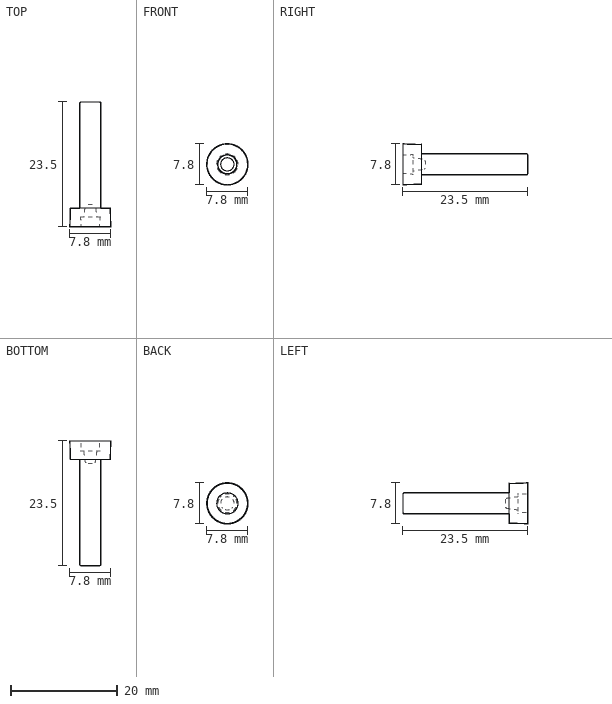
import cadquery as cq

total_length = 23.5
head_length = 3.5
head_mid = head_length / 2
head_face_radius = 3.9
head_mid_radius = 3.8
head_back_radius = 3.78
shank_radius = 2.0
tip_round = 0.28

socket_radius = 1.76
socket_floor_radius = 1.88
socket_straight_depth = 1.08
socket_depth = 1.88

cup_mouth_radius = 1.25
cup_neck_radius = 0.99
cup_floor_radius = 0.55
cup_taper_depth = 1.88
cup_round = cup_neck_radius - cup_floor_radius
cup_neck_y = socket_depth + cup_taper_depth


def revolve_about_y(half_profile):
    return half_profile.close().revolve(360, (0, 0, 0), (0, 1, 0))


def make_body():
    """Head made of two slight cones, and a plain shank with a rounded tip."""
    half_profile = (
        cq.Workplane("XY")
        .lineTo(head_face_radius, 0)
        .lineTo(head_mid_radius, head_mid)
        .lineTo(head_back_radius, head_length)
        .lineTo(shank_radius, head_length)
        .lineTo(shank_radius, total_length)
        .lineTo(0, total_length)
    )
    return revolve_about_y(half_profile).faces(">Y").edges().fillet(tip_round)


def make_socket():
    """Socket with a straight mouth that widens toward its flat floor."""
    half_profile = (
        cq.Workplane("XY")
        .lineTo(socket_radius, 0)
        .lineTo(socket_radius, socket_straight_depth)
        .lineTo(socket_floor_radius, socket_depth)
        .lineTo(0, socket_depth)
    )
    return revolve_about_y(half_profile)


def make_cup():
    """Tapered cup whose wall rounds into a small flat floor."""
    half_profile = (
        cq.Workplane("XY")
        .moveTo(0, socket_depth)
        .lineTo(cup_mouth_radius, socket_depth)
        .lineTo(cup_neck_radius, cup_neck_y)
        .radiusArc((cup_floor_radius, cup_neck_y + cup_round), -cup_round)
        .lineTo(0, cup_neck_y + cup_round)
    )
    return revolve_about_y(half_profile)


result = make_body().cut(make_socket()).cut(make_cup())